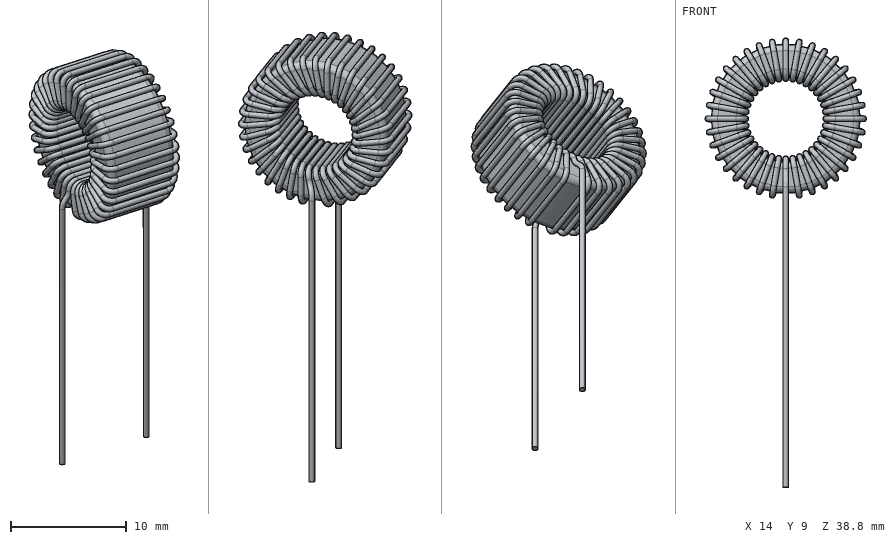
import cadquery as cq
import math

overall_height = 38.82
wire_diameter = 0.5
winding_outer_diameter = 13.95
winding_length = 7.65
core_outer_diameter = 12.9
core_bore_diameter = 7.5
lead_span = 9.0
bend_radius = 0.8
turn_count = 36
clearance = 0.02

wire_radius = wire_diameter / 2
turn_pitch = 360 / turn_count
outer_run_radius = winding_outer_diameter / 2 - wire_radius
inner_run_radius = core_bore_diameter / 2 - wire_radius - clearance
face_run_y = winding_length / 2 - wire_radius
core_length = 2 * (face_run_y - wire_radius - clearance)
core_fillet = bend_radius - wire_radius
lead_y = lead_span / 2 - wire_radius
lead_top_z = -(outer_run_radius - bend_radius)
lead_bottom_z = winding_outer_diameter / 2 - overall_height
lead_angle = 270


def make_core():
    """Ring with rounded rims, centred on the origin with its axis along Y."""
    ring = (
        cq.Workplane("XZ", origin=(0, core_length / 2, 0))
        .circle(core_outer_diameter / 2)
        .circle(core_bore_diameter / 2)
        .extrude(core_length)
    )
    return ring.faces("<Y or >Y").edges().fillet(core_fillet)


def ring_point(radius, angle, y):
    """Point at a radius and an angle (degrees, from +X towards +Z) around the Y axis."""
    turn = math.radians(angle)
    return cq.Vector(radius * math.cos(turn), y, radius * math.sin(turn))


def winding_corners():
    """Sharp corners of the winding, from the -Y lead to the +Y lead.

    The wire runs back through the bore, steps one pitch across the +Y face,
    returns along the outside and comes in radially across the -Y face.
    """
    corners = [ring_point(outer_run_radius, lead_angle, -face_run_y)]
    for turn in range(turn_count):
        angle = lead_angle - turn * turn_pitch
        next_angle = angle - turn_pitch
        corners.append(ring_point(inner_run_radius, angle, -face_run_y))
        corners.append(ring_point(inner_run_radius, angle, face_run_y))
        corners.append(ring_point(outer_run_radius, next_angle, face_run_y))
        corners.append(ring_point(outer_run_radius, next_angle, -face_run_y))
    return corners[:-1]


def corner_arc(before, corner, after):
    """Start, middle and end of the bend at a right-angled corner."""
    back = (before - corner).normalized()
    ahead = (after - corner).normalized()
    centre = corner + (back + ahead) * bend_radius
    middle = centre - (back + ahead).normalized() * bend_radius
    return corner + back * bend_radius, middle, corner + ahead * bend_radius


def make_wire_path():
    """Centreline of the whole wire: lead, turns, lead."""
    down = cq.Vector(0, 0, -1)
    up = cq.Vector(0, 0, 1)
    first_bottom = cq.Vector(0, -lead_y, lead_bottom_z)
    first_top = cq.Vector(0, -lead_y, lead_top_z)
    last_top = cq.Vector(0, lead_y, lead_top_z)
    last_bottom = cq.Vector(0, lead_y, lead_bottom_z)

    corners = winding_corners()
    bends = [corner_arc(*trio) for trio in zip(corners, corners[1:], corners[2:])]
    entry = bends[0][0]
    leaving = bends[-1][2]
    entry_direction = (corners[1] - corners[0]).normalized()
    leaving_direction = (corners[-1] - corners[-2]).normalized()

    edges = [
        cq.Edge.makeLine(first_bottom, first_top),
        cq.Edge.makeSpline([first_top, entry], tangents=[up, entry_direction]),
    ]
    for index, bend in enumerate(bends):
        if index > 0:
            edges.append(cq.Edge.makeLine(bends[index - 1][2], bend[0]))
        edges.append(cq.Edge.makeThreePointArc(*bend))
    edges.append(cq.Edge.makeSpline([leaving, last_top], tangents=[leaving_direction, down]))
    edges.append(cq.Edge.makeLine(last_top, last_bottom))
    return cq.Wire.assembleEdges(edges)


def make_winding():
    """One continuous round wire, including both leads."""
    lead_end = cq.Workplane("XY", origin=(0, -lead_y, lead_bottom_z))
    return lead_end.circle(wire_radius).sweep(make_wire_path())


core = make_core()
winding = make_winding()

result = cq.Compound.makeCompound([core.val(), winding.val()])